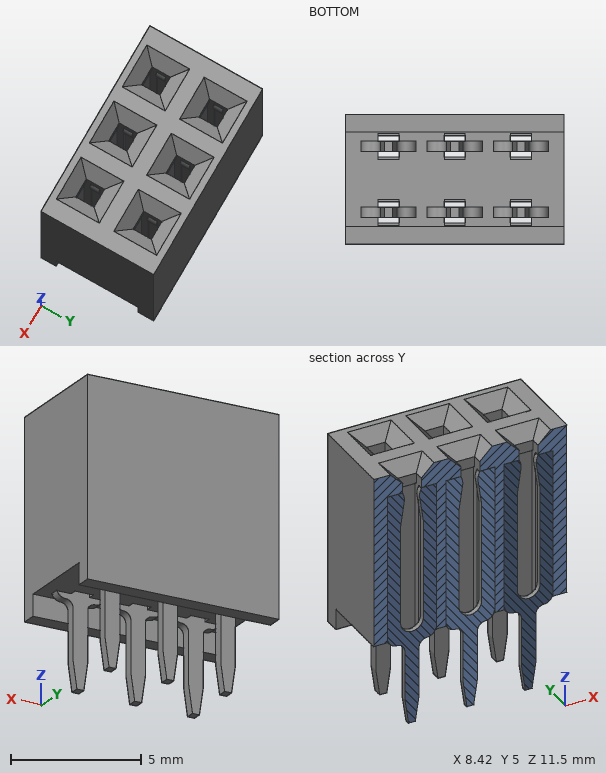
import cadquery as cq
import math

TOTAL_HEIGHT = 11.5
HOUSING_LENGTH = 8.42
HOUSING_WIDTH = 5.0
HOUSING_HEIGHT = 8.51
HOUSING_BOTTOM = TOTAL_HEIGHT - HOUSING_HEIGHT
CHANNEL_WIDTH = 3.63
CHANNEL_DEPTH = 0.92
CHANNEL_CEILING = HOUSING_BOTTOM + CHANNEL_DEPTH

COLUMNS = 3
ROWS = 2
PITCH = 2.54

FUNNEL_MOUTH = 1.9
THROAT_SIZE = 0.8
FUNNEL_DEPTH = (FUNNEL_MOUTH - THROAT_SIZE) / 2
FUNNEL_BOTTOM = TOTAL_HEIGHT - FUNNEL_DEPTH
THROAT_BOTTOM = 10.5
CHAMBER_WIDTH = 1.0

CONTACT_THICKNESS = 0.4
STEM_WIDTH = 0.64
TIP_WIDTH = 0.31
TIP_HEIGHT = 1.15

STEM_TOP = 3.32
STEM_FILLET = 0.33
CORNER_RADIUS = 0.4
GAP_RADIUS = 0.48
GAP_FLOOR = 4.14
PINCH_GAP = 0.63
PINCH_RISE = 1.15
LEAD_IN_RADIUS = 0.69
ARM_TOP = THROAT_BOTTOM
FORK_BOTTOM = STEM_TOP + STEM_FILLET
FORK_WIDTH = STEM_WIDTH + 2 * (STEM_FILLET + CORNER_RADIUS)

DIAGONAL = math.sqrt(0.5)


def socket_centres():
    for column in range(COLUMNS):
        for row in range(ROWS):
            yield ((column - (COLUMNS - 1) / 2) * PITCH, (row - (ROWS - 1) / 2) * PITCH)


def block(length, width, bottom, top):
    """A box centred on the Z axis between two heights."""
    return cq.Workplane("XY").workplane(offset=bottom).rect(length, width).extrude(top - bottom)


def make_socket():
    """The space removed from the housing for one contact, centred on the Z axis."""
    funnel = (
        cq.Workplane("XY")
        .workplane(offset=FUNNEL_BOTTOM)
        .rect(THROAT_SIZE, THROAT_SIZE)
        .workplane(offset=FUNNEL_DEPTH)
        .rect(FUNNEL_MOUTH, FUNNEL_MOUTH)
        .loft(ruled=True)
    )
    throat = block(THROAT_SIZE, THROAT_SIZE, THROAT_BOTTOM, FUNNEL_BOTTOM)
    chamber = block(THROAT_SIZE, CHAMBER_WIDTH, CHANNEL_CEILING, THROAT_BOTTOM)
    slot = block(FORK_WIDTH, CONTACT_THICKNESS, CHANNEL_CEILING, ARM_TOP)
    return funnel.union(throat).union(chamber).union(slot)


def make_housing():
    channel = block(HOUSING_LENGTH, CHANNEL_WIDTH, HOUSING_BOTTOM, CHANNEL_CEILING)
    housing = block(HOUSING_LENGTH, HOUSING_WIDTH, HOUSING_BOTTOM, TOTAL_HEIGHT).cut(channel)
    socket = make_socket()
    for x, y in socket_centres():
        housing = housing.cut(socket.translate((x, y, 0)))
    return housing


def make_contact():
    """One flat contact in the XZ plane, its tip at the origin: half its outline, mirrored."""
    half_stem = STEM_WIDTH / 2
    corner_start = half_stem + STEM_FILLET
    half_fork = FORK_WIDTH / 2
    half_pinch = PINCH_GAP / 2
    lead_in_end = THROAT_SIZE / 2
    lead_in_angle = math.acos(1 - (lead_in_end - half_pinch) / LEAD_IN_RADIUS)
    pinch_height = ARM_TOP - LEAD_IN_RADIUS * math.sin(lead_in_angle)
    lead_in_middle = (
        half_pinch + LEAD_IN_RADIUS * (1 - math.cos(lead_in_angle / 2)),
        pinch_height + LEAD_IN_RADIUS * math.sin(lead_in_angle / 2),
    )
    gap_centre = GAP_FLOOR + GAP_RADIUS
    fillet_middle = (corner_start - STEM_FILLET * DIAGONAL, STEM_TOP + STEM_FILLET * DIAGONAL)
    corner_centre = FORK_BOTTOM + CORNER_RADIUS
    corner_middle = (corner_start + CORNER_RADIUS * DIAGONAL, corner_centre - CORNER_RADIUS * DIAGONAL)
    gap_middle = (GAP_RADIUS * DIAGONAL, gap_centre - GAP_RADIUS * DIAGONAL)
    return (
        cq.Workplane("XZ")
        .lineTo(TIP_WIDTH / 2, 0)
        .lineTo(half_stem, TIP_HEIGHT)
        .lineTo(half_stem, STEM_TOP)
        .threePointArc(fillet_middle, (corner_start, FORK_BOTTOM))
        .threePointArc(corner_middle, (half_fork, corner_centre))
        .lineTo(half_fork, ARM_TOP)
        .lineTo(lead_in_end, ARM_TOP)
        .threePointArc(lead_in_middle, (half_pinch, pinch_height))
        .lineTo(GAP_RADIUS, pinch_height - PINCH_RISE)
        .lineTo(GAP_RADIUS, gap_centre)
        .threePointArc(gap_middle, (0, GAP_FLOOR))
        .mirrorY()
        .extrude(CONTACT_THICKNESS / 2, both=True)
    )


housing = make_housing()
contact = make_contact()
contacts = [contact.translate((x, y, 0)) for x, y in socket_centres()]

result = cq.Compound.makeCompound([housing.val(), *[placed.val() for placed in contacts]])